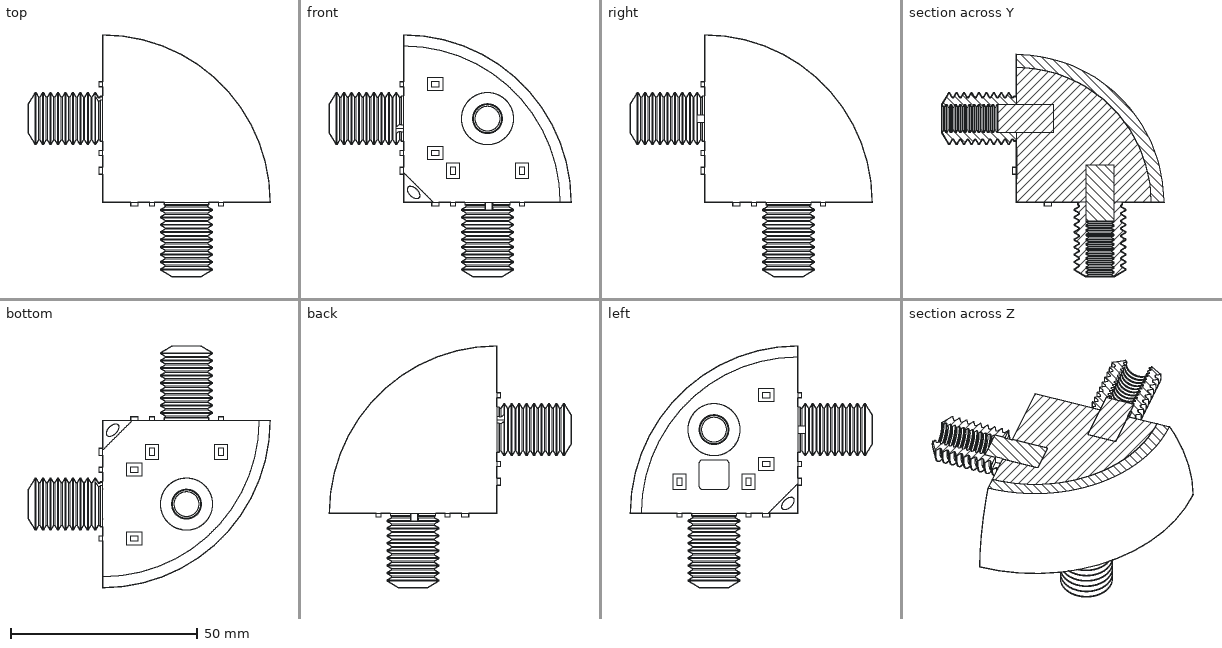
import cadquery as cq
import math

OUTER_RADIUS = 45.0
SHELL_THICKNESS = 3.0
CORE_RADIUS = OUTER_RADIUS - SHELL_THICKNESS
AXIS_OFFSET = OUTER_RADIUS / 2

CORNER_LEG = 8.0
CORNER_HOLE_DIAMETER = 4.1
CORNER_HOLE_DEPTH = 4.0

CONTACT_EDGE_OFFSET = 8.5
CONTACT_HALF_SPACING = 9.25
CONTACT_LENGTH = 2.0
CONTACT_WIDTH = 1.4
CONTACT_HEIGHT = 1.0
POCKET_MARGIN = 1.05
POCKET_DEPTH = 0.5

LABEL_SIZE = 8.0
LABEL_CORNER_RADIUS = 1.0
LABEL_DEPTH = 0.2
LABEL_HEIGHT = 10.4

STUD_LENGTH = 20.0
STUD_RADIUS = 7.0
STUD_ROOT_RADIUS = 5.8
STUD_COLLAR_RADIUS = 6.1
STUD_COLLAR_LENGTH = 0.6
STUD_PITCH = 2.0
STUD_CREST = STUD_PITCH / 8
STUD_TIP_RADIUS = 3.9
STUD_CONE_RADIUS = 6.35
FLANK_ANGLE = 30.0
BORE_RADIUS = 4.0
BORE_CREST_RADIUS = 3.33
BORE_MOUTH_RADIUS = 3.8
BORE_PITCH = 1.25
BORE_CREST = BORE_PITCH / 4

SLOT_WIDTH = 2.0
SLOT_DEPTH = 2.0

SCREW_RADIUS = BORE_RADIUS
SCREW_DEPTH_IN_CORE = 10.0
SCREW_LENGTH_IN_STUD = 5.0

SLOT_ANGLES = (-86.0, 206.0, 270.0)

ORIGIN = (0, 0, 0)
BODY_DIAGONAL = (1, 1, 1)
FACE_TURN = 120.0


def turned_to_face(body, step):
    """Turn a body modelled on the -Z face onto one of the three flat faces."""
    return body.rotate(ORIGIN, BODY_DIAGONAL, FACE_TURN * step)


def ball_octant(radius):
    cube = cq.Workplane("XY").box(radius, radius, radius, centered=False)
    return cq.Workplane("XY").sphere(radius).intersect(cube)


def flank_run(outer_radius, inner_radius):
    """Axial length of a sloped thread flank."""
    return (outer_radius - inner_radius) * math.tan(math.radians(FLANK_ANGLE))


def outside_points():
    """Half outline of the outside, as (radius, distance from the face)."""
    run = flank_run(STUD_RADIUS, STUD_ROOT_RADIUS)
    collar_run = flank_run(STUD_COLLAR_RADIUS, STUD_ROOT_RADIUS)
    points = [
        (STUD_COLLAR_RADIUS, 0),
        (STUD_COLLAR_RADIUS, STUD_COLLAR_LENGTH),
        (STUD_ROOT_RADIUS, STUD_COLLAR_LENGTH + collar_run),
    ]
    ridge_count = round(STUD_LENGTH / STUD_PITCH) - 1
    for ridge in range(1, ridge_count + 1):
        middle = ridge * STUD_PITCH
        points.append((STUD_ROOT_RADIUS, middle - STUD_CREST / 2 - run))
        points.append((STUD_RADIUS, middle - STUD_CREST / 2))
        points.append((STUD_RADIUS, middle + STUD_CREST / 2))
        if ridge < ridge_count:
            points.append((STUD_ROOT_RADIUS, middle + STUD_CREST / 2 + run))
    last_flank = flank_run(STUD_RADIUS, STUD_CONE_RADIUS)
    points.append((STUD_CONE_RADIUS, middle + STUD_CREST / 2 + last_flank))
    points.append((STUD_TIP_RADIUS, STUD_LENGTH))
    return points


def revolved(points):
    """Spin (radius, distance) points about the stud axis, pointing away from the -Z face."""
    outline = [(radius, -distance) for radius, distance in points]
    spun = cq.Workplane("XZ").polyline(outline).close().revolve(360, ORIGIN, (0, 1, 0))
    return spun.translate((AXIS_OFFSET, AXIS_OFFSET, 0))


def bore():
    """Bore with ridges beyond the screw, and the plain seat of the screw."""
    run = flank_run(BORE_RADIUS, BORE_CREST_RADIUS)
    points = [(0, 0), (BORE_RADIUS, 0), (BORE_RADIUS, SCREW_LENGTH_IN_STUD)]
    ridge_count = math.floor((STUD_LENGTH - SCREW_LENGTH_IN_STUD) / BORE_PITCH)
    for ridge in range(ridge_count):
        middle = SCREW_LENGTH_IN_STUD + (ridge + 0.5) * BORE_PITCH
        points.append((BORE_RADIUS, middle - BORE_CREST / 2 - run))
        points.append((BORE_CREST_RADIUS, middle - BORE_CREST / 2))
        points.append((BORE_CREST_RADIUS, middle + BORE_CREST / 2))
        points.append((BORE_RADIUS, middle + BORE_CREST / 2 + run))
    points.append((BORE_MOUTH_RADIUS, STUD_LENGTH))
    points.append((0, STUD_LENGTH))
    return revolved(points)


def stud(slot_angle):
    body = revolved([(0, 0)] + outside_points() + [(0, STUD_LENGTH)])
    slot = (
        cq.Workplane("XY")
        .box(2 * STUD_RADIUS, SLOT_WIDTH, SLOT_DEPTH, centered=(True, True, False))
        .rotate(ORIGIN, (0, 0, 1), slot_angle)
        .translate((AXIS_OFFSET, AXIS_OFFSET, -SLOT_DEPTH))
    )
    return body.cut(bore()).cut(slot)


def screw():
    return (
        cq.Workplane("XY", origin=(AXIS_OFFSET, AXIS_OFFSET, -SCREW_LENGTH_IN_STUD))
        .circle(SCREW_RADIUS)
        .extrude(SCREW_LENGTH_IN_STUD + SCREW_DEPTH_IN_CORE)
    )


def contact_blocks(margin, bottom, top):
    """Four blocks on the -Z face, grown sideways by a margin."""
    near = AXIS_OFFSET - CONTACT_HALF_SPACING
    far = AXIS_OFFSET + CONTACT_HALF_SPACING
    length = CONTACT_LENGTH + 2 * margin
    width = CONTACT_WIDTH + 2 * margin
    level = cq.Workplane("XY", origin=(0, 0, bottom))
    beside_y = level.pushPoints([(CONTACT_EDGE_OFFSET, near), (CONTACT_EDGE_OFFSET, far)])
    beside_x = level.pushPoints([(near, CONTACT_EDGE_OFFSET), (far, CONTACT_EDGE_OFFSET)])
    along_x = beside_y.rect(length, width).extrude(top - bottom)
    along_y = beside_x.rect(width, length).extrude(top - bottom)
    return along_x.union(along_y)


def cut_corner(body):
    """Cut the flat across the square corner and drill its blind hole."""
    third = CORNER_LEG / 3
    flat = cq.Plane(origin=(third, third, third), xDir=(1, -1, 0), normal=BODY_DIAGONAL)
    outside_flat = cq.Workplane(flat).rect(4 * CORNER_LEG, 4 * CORNER_LEG).extrude(-CORNER_LEG)
    hole = cq.Workplane(flat).circle(CORNER_HOLE_DIAMETER / 2).extrude(CORNER_HOLE_DEPTH)
    return body.cut(outside_flat).cut(hole)


def label_recess():
    return (
        cq.Workplane("YZ")
        .center(AXIS_OFFSET, LABEL_HEIGHT)
        .rect(LABEL_SIZE, LABEL_SIZE)
        .extrude(LABEL_DEPTH)
        .edges("|X")
        .fillet(LABEL_CORNER_RADIUS)
    )


def core():
    body = cut_corner(ball_octant(CORE_RADIUS)).cut(label_recess())
    for step in range(len(SLOT_ANGLES)):
        pockets = contact_blocks(POCKET_MARGIN, 0, POCKET_DEPTH)
        contacts = contact_blocks(0, -CONTACT_HEIGHT, POCKET_DEPTH)
        body = body.cut(turned_to_face(pockets, step))
        body = body.union(turned_to_face(contacts, step))
        body = body.cut(turned_to_face(screw(), step))
    return body


core_body = core()
shell = ball_octant(OUTER_RADIUS).cut(ball_octant(CORE_RADIUS))
studs = [turned_to_face(stud(angle), step).solids().val() for step, angle in enumerate(SLOT_ANGLES)]
screws = [turned_to_face(screw(), step).solids().val() for step in range(len(SLOT_ANGLES))]

result = cq.Compound.makeCompound([core_body.solids().val(), shell.solids().val(), *studs, *screws])